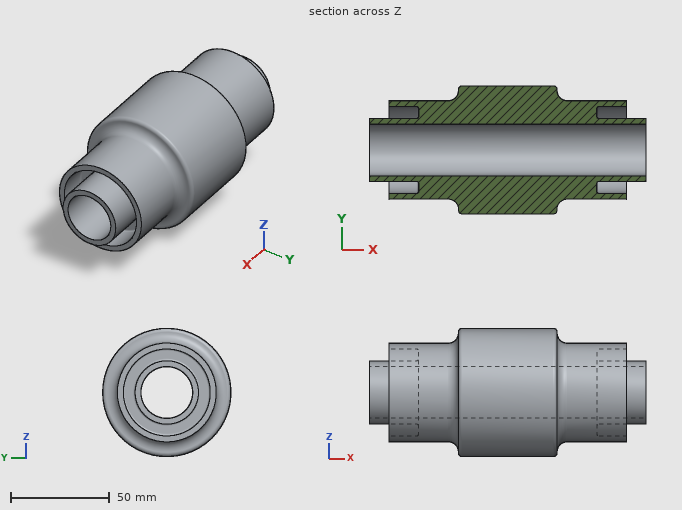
import cadquery as cq

LENGTH = 140.0
BORE_DIAMETER = 26.0

PIPE_DIAMETER = 32.0

SLEEVE_DIAMETER = 50.0
SLEEVE_INNER_DIAMETER = 44.0
PIPE_PROTRUSION = 10.0

BODY_DIAMETER = 65.0
BODY_LENGTH = 50.0
BODY_EDGE_RADIUS = 2.0
SHOULDER_RADIUS = 5.0

GAP_DEPTH = 15.0
GAP_ROOT_RADIUS = 1.0


def stock():
    """Bored body with full-length sleeves, rounded edges and shoulders."""
    half_body = BODY_LENGTH / 2
    half_length = LENGTH / 2
    bore_radius = BORE_DIAMETER / 2
    sleeve_radius = SLEEVE_DIAMETER / 2
    body_radius = BODY_DIAMETER / 2
    flat_end = half_body - BODY_EDGE_RADIUS
    return (
        cq.Workplane("XY")
        .moveTo(-half_length, bore_radius)
        .lineTo(-half_length, sleeve_radius)
        .lineTo(-half_body - SHOULDER_RADIUS, sleeve_radius)
        .radiusArc((-half_body, sleeve_radius + SHOULDER_RADIUS), -SHOULDER_RADIUS)
        .lineTo(-half_body, body_radius - BODY_EDGE_RADIUS)
        .radiusArc((-flat_end, body_radius), BODY_EDGE_RADIUS)
        .lineTo(flat_end, body_radius)
        .radiusArc((half_body, body_radius - BODY_EDGE_RADIUS), BODY_EDGE_RADIUS)
        .lineTo(half_body, sleeve_radius + SHOULDER_RADIUS)
        .radiusArc((half_body + SHOULDER_RADIUS, sleeve_radius), -SHOULDER_RADIUS)
        .lineTo(half_length, sleeve_radius)
        .lineTo(half_length, bore_radius)
        .close()
        .revolve(360, (0, 0, 0), (1, 0, 0))
    )


def ring(inner_diameter, outer_diameter, start_x, length):
    """Ring about the X axis, running from start_x by a signed length."""
    return (
        cq.Workplane("YZ", origin=(start_x, 0, 0))
        .circle(outer_diameter / 2)
        .circle(inner_diameter / 2)
        .extrude(length)
    )


def end_gap(side):
    """Gap at the end on the given side of X = 0, rounded at its closed end."""
    depth_from_end = PIPE_PROTRUSION + GAP_DEPTH
    gap = ring(PIPE_DIAMETER, SLEEVE_INNER_DIAMETER, side * LENGTH / 2, -side * depth_from_end)
    closed_end = "<X" if side > 0 else ">X"
    return gap.faces(closed_end).edges().fillet(GAP_ROOT_RADIUS)


def sleeve_trim(side):
    """Ring of sleeve removed so that the pipe stands out past it."""
    return ring(SLEEVE_INNER_DIAMETER, BODY_DIAMETER, side * LENGTH / 2, -side * PIPE_PROTRUSION)


result = stock()
for end in (-1, 1):
    result = result.cut(end_gap(end)).cut(sleeve_trim(end))